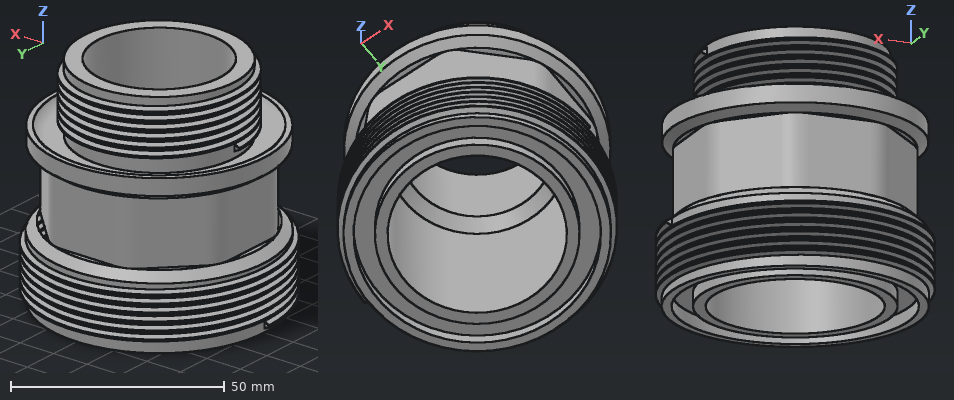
import cadquery as cq
import math


total_height = 61.75
shoulder_z = 17.9
grip_bottom_z = 20.2
grip_top_z = 38.55
collar_rim_z = 40.25
collar_top_z = 44.8

grip_sides = 8
grip_flats = 54.25
grip_corner_fillet = 8.0
collar_diameter = 62.5

relief_diameter = 59.25
relief_floor_diameter = 50.35
relief_depth = 2.55

lower_bore_diameter = 42.0
upper_bore_diameter = 36.0
bore_step_z = 38.35

seal_outer_diameter = 58.0
seal_inner_diameter = 48.0
seal_depth = 3.4

thread_pitch = 2.3
thread_angle = 55
thread_turns = 6.5
root_overlap = 0.25
lower_root_diameter = 62.7
lower_crest_diameter = 65.55
lower_thread_start_z = 2.0
upper_root_diameter = 44.8
upper_crest_diameter = 47.8
upper_thread_start_z = 45.0


def cylinder(diameter, bottom_z, top_z):
    return cq.Workplane("XY").workplane(offset=bottom_z).circle(diameter / 2).extrude(top_z - bottom_z)


def cone(bottom_diameter, top_diameter, bottom_z, top_z):
    """Truncated cone on the Z axis."""
    return (
        cq.Workplane("XZ")
        .moveTo(0, bottom_z)
        .lineTo(bottom_diameter / 2, bottom_z)
        .lineTo(top_diameter / 2, top_z)
        .lineTo(0, top_z)
        .close()
        .revolve(360, (0, 0), (0, 1))
    )


def thread_ridge(root_diameter, crest_diameter, start_z):
    """Right-hand helical ridge that starts on the -X side, slightly sunk into its root cylinder."""
    sunk_radius = root_diameter / 2 - root_overlap
    crest_radius = crest_diameter / 2
    flank_slope = math.tan(math.radians(thread_angle / 2))
    half_crest = thread_pitch / 4 - (crest_diameter - root_diameter) / 4 * flank_slope
    half_base = half_crest + (crest_radius - sunk_radius) * flank_slope
    helix = cq.Wire.makeHelix(thread_pitch, thread_turns * thread_pitch, root_diameter / 2)
    ridge = (
        cq.Workplane("XZ")
        .moveTo(sunk_radius, -half_base)
        .lineTo(crest_radius, -half_crest)
        .lineTo(crest_radius, half_crest)
        .lineTo(sunk_radius, half_base)
        .close()
        .sweep(cq.Workplane(obj=helix), isFrenet=True)
    )
    return ridge.rotate((0, 0, 0), (0, 0, 1), 180).translate((0, 0, start_z))


def octagonal_grip():
    """Octagon with flats facing X and Y, rounded corners and a conical collar at each end."""
    corner_ratio = 1 / math.cos(math.pi / grip_sides)
    corner_diameter = grip_flats * corner_ratio
    rounded_diameter = corner_diameter - 2 * grip_corner_fillet * (corner_ratio - 1)
    octagon = (
        cq.Workplane("XY")
        .workplane(offset=grip_bottom_z)
        .polygon(grip_sides, corner_diameter)
        .extrude(grip_top_z - grip_bottom_z)
        .rotate((0, 0, 0), (0, 0, 1), 180 / grip_sides)
        .edges("|Z")
        .fillet(grip_corner_fillet)
    )
    lower_collar = cone(lower_root_diameter, rounded_diameter, shoulder_z, grip_bottom_z)
    upper_collar = cone(rounded_diameter, collar_diameter, grip_top_z, collar_rim_z)
    collar_band = cylinder(collar_diameter, collar_rim_z, collar_top_z)
    return octagon.union(lower_collar).union(upper_collar).union(collar_band)


def spigot_relief():
    """Dished recess in the top of the collar, its wall an arc that runs tangent into the floor."""
    outer_radius = relief_diameter / 2
    floor_radius = relief_floor_diameter / 2
    root_radius = upper_root_diameter / 2
    floor_z = collar_top_z - relief_depth
    return (
        cq.Workplane("XZ")
        .moveTo(root_radius, collar_top_z)
        .lineTo(root_radius, floor_z)
        .lineTo(floor_radius, floor_z)
        .tangentArcPoint((outer_radius, collar_top_z), relative=False)
        .close()
        .revolve(360, (0, 0), (0, 1))
    )


def stepped_bore():
    """Through bore: wide below, a 45 degree step, narrow above."""
    step_end_z = bore_step_z + (lower_bore_diameter - upper_bore_diameter) / 2
    return (
        cylinder(lower_bore_diameter, 0, bore_step_z)
        .union(cone(lower_bore_diameter, upper_bore_diameter, bore_step_z, step_end_z))
        .union(cylinder(upper_bore_diameter, step_end_z, total_height))
    )


def seal_groove():
    return cylinder(seal_outer_diameter, 0, seal_depth).cut(cylinder(seal_inner_diameter, 0, seal_depth))


lower_thread = thread_ridge(lower_root_diameter, lower_crest_diameter, lower_thread_start_z)
upper_thread = thread_ridge(upper_root_diameter, upper_crest_diameter, upper_thread_start_z)

result = (
    octagonal_grip()
    .cut(spigot_relief())
    .union(cylinder(lower_root_diameter, 0, shoulder_z))
    .union(cylinder(upper_root_diameter, collar_top_z - relief_depth, total_height))
    .cut(stepped_bore())
    .cut(seal_groove())
    .union(lower_thread)
    .union(upper_thread)
)